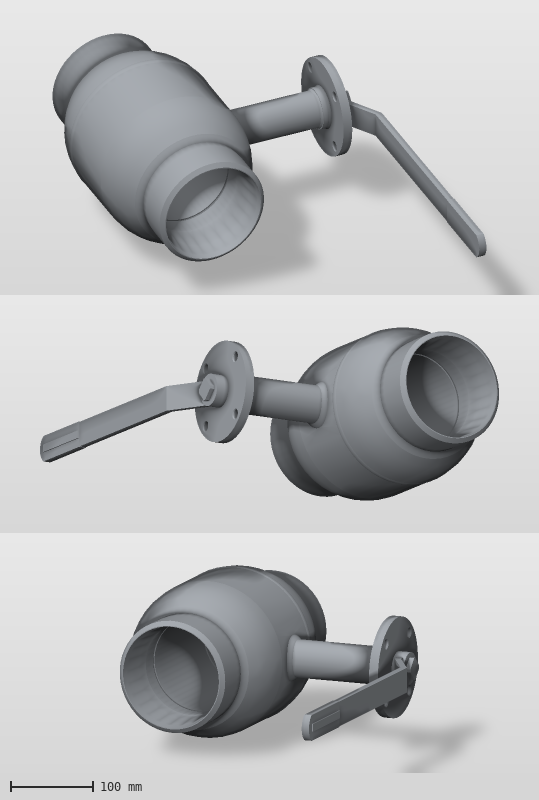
import cadquery as cq
import math


pipe_diameter = 140.0
pipe_half_length = 162.5
bevel_length = 5.0
bevel_depth = 5.5
mouth_diameter = 127.0
bore_diameter = 117.0
taper_length = 59.0
seat_groove_diameter = 120.0
seat_groove_width = 4.5
seat_groove_x = 78.5

shell_diameter = 193.5
shell_half_cylinder = 44.0
shell_cap_end_x = 102.0
shell_half_length = 109.5
weld_bead_diameter = 194.5
weld_bead_width = 8.0
weld_bead_x = -44.5

stem_diameter = 47.0
stem_weld_size = 5.5
collar_diameter = 52.5
collar_bottom_y = 209.5
collar_weld_height = 2.5
collar_weld_width = 1.5
flange_diameter = 125.0
flange_bottom_y = 220.0
flange_top_y = 231.5
bolt_hole_diameter = 11.0
bolt_hole_chamfer = 1.0
bolt_circle_diameter = 102.0
bolt_count = 4
square_width = 22.0
square_over_corners = 27.0
square_top_y = 254.0

hub_diameter = 40.0
hub_top_y = 247.5
bar_width = 31.0
bar_thickness = 8.5
bar_inner_y = 235.5
bar_outer_y = 262.0
lower_bend_x = 19.0
upper_bend_x = 64.0
grip_start_x = 275.5
grip_shoulder_x = 362.0
grip_end_x = 371.0
grip_wall = 0.5
grip_thickness = 9.5
rib_width = 9.5
rib_inset = 1.5
rib_height = 1.35


def disc(diameter, bottom_y, top_y):
    """Cylinder about the stem axis between two heights."""
    return (
        cq.Workplane("XZ", origin=(0, bottom_y, 0))
        .circle(diameter / 2)
        .extrude(bottom_y - top_y)
    )


def revolve_about_pipe_axis(profile):
    return profile.close().revolve(360, (0, 0, 0), (1, 0, 0))


def revolve_about_stem_axis(profile):
    return profile.close().revolve(360, (0, 0, 0), (0, 1, 0))


def make_shell():
    """Bevelled pipe and round shell, without the bore."""
    pipe_radius = pipe_diameter / 2
    shell_radius = shell_diameter / 2
    cap_end_radius = math.sqrt(shell_radius**2 - (shell_cap_end_x - shell_half_cylinder) ** 2)
    arc_angle = math.asin((shell_cap_end_x - shell_half_cylinder) / shell_radius) / 2
    arc_x = shell_half_cylinder + shell_radius * math.sin(arc_angle)
    arc_radius = shell_radius * math.cos(arc_angle)
    bevel_radius = pipe_radius - bevel_depth
    bevel_x = pipe_half_length - bevel_length

    return revolve_about_pipe_axis(
        cq.Workplane("XY")
        .moveTo(-pipe_half_length, 0)
        .lineTo(-pipe_half_length, bevel_radius)
        .lineTo(-bevel_x, pipe_radius)
        .lineTo(-shell_half_length, pipe_radius)
        .lineTo(-shell_cap_end_x, cap_end_radius)
        .threePointArc((-arc_x, arc_radius), (-shell_half_cylinder, shell_radius))
        .lineTo(shell_half_cylinder, shell_radius)
        .threePointArc((arc_x, arc_radius), (shell_cap_end_x, cap_end_radius))
        .lineTo(shell_half_length, pipe_radius)
        .lineTo(bevel_x, pipe_radius)
        .lineTo(pipe_half_length, bevel_radius)
        .lineTo(pipe_half_length, 0)
    )


def make_weld_bead():
    """Slightly crowned bead around the joint of the left cap."""
    start_x = weld_bead_x - weld_bead_width / 2
    end_x = weld_bead_x + weld_bead_width / 2
    cap_offset = -shell_half_cylinder - start_x
    start_radius = math.sqrt((shell_diameter / 2) ** 2 - cap_offset**2)
    return revolve_about_pipe_axis(
        cq.Workplane("XY")
        .moveTo(start_x, 0)
        .lineTo(start_x, start_radius)
        .threePointArc((weld_bead_x, weld_bead_diameter / 2), (end_x, shell_diameter / 2))
        .lineTo(end_x, 0)
    )


def make_bore():
    """Through bore with tapered mouths and a narrow groove at each ball seat."""
    mouth_radius = mouth_diameter / 2
    bore_radius = bore_diameter / 2
    taper_end_x = pipe_half_length - taper_length
    bore = revolve_about_pipe_axis(
        cq.Workplane("XY")
        .moveTo(-pipe_half_length, 0)
        .lineTo(-pipe_half_length, mouth_radius)
        .lineTo(-taper_end_x, bore_radius)
        .lineTo(taper_end_x, bore_radius)
        .lineTo(pipe_half_length, mouth_radius)
        .lineTo(pipe_half_length, 0)
    )
    for groove_x in (-seat_groove_x, seat_groove_x):
        groove = (
            cq.Workplane("YZ", origin=(groove_x, 0, 0))
            .circle(seat_groove_diameter / 2)
            .extrude(seat_groove_width / 2, both=True)
        )
        bore = bore.union(groove)
    return bore


def make_collar():
    """Collar under the flange, with a thin weld cone below each of its joints."""
    stem_radius = stem_diameter / 2
    collar_radius = collar_diameter / 2
    return revolve_about_stem_axis(
        cq.Workplane("XY")
        .moveTo(0, collar_bottom_y - collar_weld_height)
        .lineTo(stem_radius, collar_bottom_y - collar_weld_height)
        .lineTo(stem_radius + collar_weld_width, collar_bottom_y)
        .lineTo(collar_radius, collar_bottom_y)
        .lineTo(collar_radius, flange_bottom_y - collar_weld_height)
        .lineTo(collar_radius + collar_weld_width, flange_bottom_y)
        .lineTo(0, flange_bottom_y)
    )


def make_bolt_hole():
    """Cutter for one flange hole, widened by a chamfer at both faces."""
    hole_radius = bolt_hole_diameter / 2
    mouth_radius = hole_radius + bolt_hole_chamfer
    return revolve_about_stem_axis(
        cq.Workplane("XY")
        .moveTo(0, flange_bottom_y)
        .lineTo(mouth_radius, flange_bottom_y)
        .lineTo(hole_radius, flange_bottom_y + bolt_hole_chamfer)
        .lineTo(hole_radius, flange_top_y - bolt_hole_chamfer)
        .lineTo(mouth_radius, flange_top_y)
        .lineTo(0, flange_top_y)
    )


def make_flange():
    flange = disc(flange_diameter, flange_bottom_y, flange_top_y)
    hole = make_bolt_hole().translate((bolt_circle_diameter / 2, 0, 0))
    for index in range(bolt_count):
        angle = 45 + index * 360 / bolt_count
        flange = flange.cut(hole.rotate((0, 0, 0), (0, 1, 0), angle))
    return flange


def make_stem_square():
    """Square drive end with its corners, trimmed flat, on the X and Z axes."""
    height = square_top_y - flange_top_y
    middle = (0, flange_top_y + height / 2, 0)
    square = cq.Workplane("XY").box(square_width, height, square_width)
    square = square.rotate((0, 0, 0), (0, 1, 0), 45)
    trim = cq.Workplane("XY").box(square_over_corners, height, square_over_corners)
    return square.intersect(trim).translate(middle)


def make_valve_body():
    shell = make_shell().union(disc(stem_diameter, 0, collar_bottom_y))
    joint_height = shell_diameter / 2
    joint = cq.selectors.BoxSelector(
        (-stem_diameter, joint_height - stem_weld_size, -stem_diameter),
        (stem_diameter, joint_height + stem_weld_size, stem_diameter),
    )
    shell = shell.edges(joint).chamfer(stem_weld_size)
    body = shell.union(make_weld_bead()).cut(make_bore())
    return body.union(make_collar()).union(make_flange()).union(make_stem_square())


def make_bar():
    """Flat bar running from inside the hub, cranked outward, to the grip."""
    return (
        cq.Workplane("XY")
        .moveTo(0, bar_inner_y)
        .lineTo(lower_bend_x, bar_inner_y)
        .lineTo(upper_bend_x, bar_outer_y)
        .lineTo(grip_start_x, bar_outer_y)
        .lineTo(grip_start_x, bar_outer_y + bar_thickness)
        .lineTo(upper_bend_x, bar_outer_y + bar_thickness)
        .lineTo(lower_bend_x, bar_inner_y + bar_thickness)
        .lineTo(0, bar_inner_y + bar_thickness)
        .close()
        .extrude(bar_width / 2, both=True)
    )


def make_grip():
    """Thickened grip with an arc-shaped end and a shallow rib along its back."""
    half_width = bar_width / 2 + grip_wall
    bottom_y = bar_outer_y - grip_wall
    top_y = bottom_y + grip_thickness
    grip = (
        cq.Workplane("XZ", origin=(0, bottom_y, 0))
        .moveTo(grip_start_x, -half_width)
        .lineTo(grip_shoulder_x, -half_width)
        .threePointArc((grip_end_x, 0), (grip_shoulder_x, half_width))
        .lineTo(grip_start_x, half_width)
        .close()
        .extrude(-grip_thickness)
    )
    rib_length = grip_shoulder_x - grip_start_x - 2 * rib_inset
    rib = cq.Workplane("XY").box(rib_length, rib_height, rib_width)
    rib_middle = ((grip_start_x + grip_shoulder_x) / 2, top_y + rib_height / 2, 0)
    return grip.union(rib.translate(rib_middle))


def make_handle():
    hub = disc(hub_diameter, flange_top_y, hub_top_y)
    handle = hub.union(make_bar()).union(make_grip())
    return handle.cut(make_stem_square())


valve_body = make_valve_body()
handle = make_handle()

result = cq.Compound.makeCompound([valve_body.val(), handle.val()])